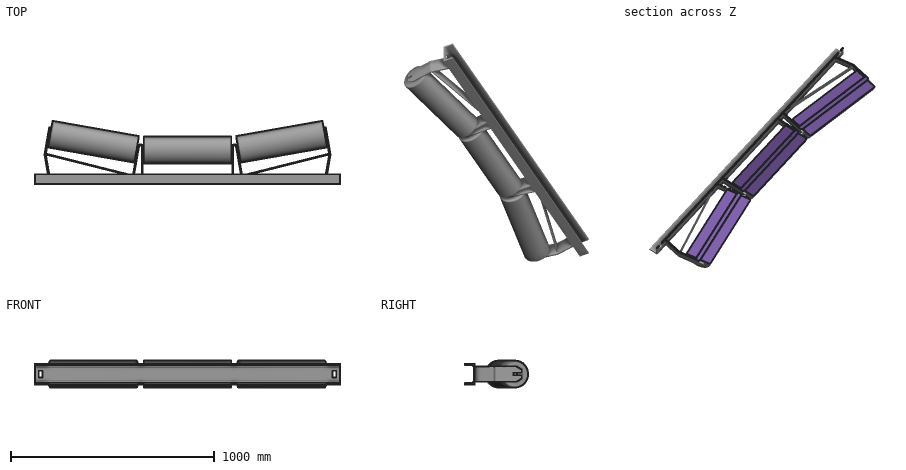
import cadquery as cq
import math


CHANNEL_LENGTH = 1500.0
CHANNEL_HEIGHT = 104.0
CHANNEL_DEPTH = 50.0
WEB_THICKNESS = 6.0
FLANGE_THICKNESS = 9.0
ROOT_RADIUS = 9.0
TIP_RADIUS = 5.0
SLOT_HOLE_WIDTH = 18.0
SLOT_HOLE_HEIGHT = 32.0
SLOT_HOLE_X = 722.0

ROLLER_DIAMETER = 134.0
ROLLER_LENGTH = 432.0
ROLLER_EDGE_RADIUS = 5.0
SHAFT_DIAMETER = 20.0
SHAFT_FLATS = 14.0
MIDDLE_AXIS_Y = 118.0
SIDE_TILT = 10.0
SIDE_CENTER_X = -462.0
SIDE_CENTER_Y = 159.0

BRACKET_WIDTH = 76.0
END_GAP = 3.0
INNER_THICKNESS = 6.0
INNER_TOP_Y = 145.0
INNER_BEND_RADIUS = 9.0
OUTER_THICKNESS = 8.0
SEAT_SLOT_LENGTH = 15.0
OUTER_BEND_Y = 96.0
OUTER_BEND_RADIUS = 15.0
OUTER_RISE = 33.0
OUTER_CORNER_LENGTH = 27.0
OUTER_CORNER_WIDTH = 16.0
BRACE_THICKNESS = 5.0
BRACE_HEAD_Y = 100.0
BRACE_WIDTH = 50.0
BRACE_FOOT_X = -294.0

SIN_TILT = math.sin(math.radians(SIDE_TILT))
COS_TILT = math.cos(math.radians(SIDE_TILT))
HALF_ROLLER = ROLLER_LENGTH / 2
SEAT_FACE = HALF_ROLLER + END_GAP
INNER_FACE = SEAT_FACE + INNER_THICKNESS
OUTER_FACE = SEAT_FACE + OUTER_THICKNESS


def tilt_to_left(body):
    """Move a body built along X about the origin onto the left roller axis."""
    tilted = body.rotate((0, 0, 0), (0, 0, 1), -SIDE_TILT)
    return tilted.translate((SIDE_CENTER_X, SIDE_CENTER_Y, 0))


def tilted_x(along, y):
    """X at height y on the plane square to the left axis, 'along' from its middle."""
    return SIDE_CENTER_X + (along + (y - SIDE_CENTER_Y) * SIN_TILT) / COS_TILT


def plate(points, width):
    """Upright plate with the given XY outline, centred on Z = 0."""
    return cq.Workplane("XY").polyline(points).close().extrude(width / 2, both=True)


def mirrored(body):
    return body.mirror("YZ")


def seat_slot(along):
    """Open slot that holds a flatted shaft end, 'along' the axis from the roller middle."""
    return (
        cq.Workplane("XY")
        .box(SEAT_SLOT_LENGTH, ROLLER_DIAMETER, SHAFT_FLATS)
        .translate((along, (ROLLER_DIAMETER - SHAFT_DIAMETER) / 2, 0))
    )


def make_channel():
    half_height = CHANNEL_HEIGHT / 2
    half_inside = half_height - FLANGE_THICKNESS
    web_front = -WEB_THICKNESS
    channel = (
        cq.Workplane("YZ")
        .polyline([
            (0, -half_height),
            (-CHANNEL_DEPTH, -half_height),
            (-CHANNEL_DEPTH, -half_inside),
            (web_front, -half_inside),
            (web_front, half_inside),
            (-CHANNEL_DEPTH, half_inside),
            (-CHANNEL_DEPTH, half_height),
            (0, half_height),
        ])
        .close()
        .extrude(CHANNEL_LENGTH / 2, both=True)
    )
    for z in (-half_inside, half_inside):
        root = cq.selectors.NearestToPointSelector((0, web_front, z))
        channel = channel.edges(root).fillet(ROOT_RADIUS)
        tip = cq.selectors.NearestToPointSelector((0, -CHANNEL_DEPTH, z))
        channel = channel.edges(tip).fillet(TIP_RADIUS)
    holes = (
        cq.Workplane("XZ")
        .pushPoints([(-SLOT_HOLE_X, 0), (SLOT_HOLE_X, 0)])
        .rect(SLOT_HOLE_WIDTH, SLOT_HOLE_HEIGHT)
        .extrude(CHANNEL_DEPTH, both=True)
    )
    return channel.cut(holes)


def make_inner_bracket():
    """Left inverted-U strip between the side roller and the middle roller."""
    bracket = plate(
        [
            (tilted_x(SEAT_FACE, 0), 0),
            (tilted_x(SEAT_FACE, INNER_TOP_Y), INNER_TOP_Y),
            (-SEAT_FACE, INNER_TOP_Y),
            (-SEAT_FACE, 0),
        ],
        BRACKET_WIDTH,
    )
    bracket = bracket.edges("|Z and >Y").fillet(INNER_BEND_RADIUS)
    inside_top = INNER_TOP_Y - INNER_THICKNESS
    inside = plate(
        [
            (tilted_x(INNER_FACE, 0), 0),
            (tilted_x(INNER_FACE, inside_top), inside_top),
            (-INNER_FACE, inside_top),
            (-INNER_FACE, 0),
        ],
        BRACKET_WIDTH,
    )
    inside = inside.edges("|Z and >Y").fillet(INNER_BEND_RADIUS - INNER_THICKNESS)
    seat_middle = SEAT_FACE + INNER_THICKNESS / 2
    middle_slot = seat_slot(-seat_middle).translate((0, MIDDLE_AXIS_Y, 0))
    return bracket.cut(inside).cut(tilt_to_left(seat_slot(seat_middle))).cut(middle_slot)


def make_outer_bracket():
    """Left end plate, bent so that its upper part is square to the side roller."""
    slant_thickness = OUTER_THICKNESS / COS_TILT
    bend_x = tilted_x(-OUTER_FACE, OUTER_BEND_Y)
    foot_x = bend_x + OUTER_BEND_Y * SIN_TILT / COS_TILT
    top_x = SIDE_CENTER_X - OUTER_FACE * COS_TILT + OUTER_RISE * SIN_TILT
    top_y = SIDE_CENTER_Y + OUTER_FACE * SIN_TILT + OUTER_RISE * COS_TILT
    bracket = plate(
        [
            (foot_x, 0),
            (bend_x, OUTER_BEND_Y),
            (top_x, top_y),
            (top_x + OUTER_THICKNESS * COS_TILT, top_y - OUTER_THICKNESS * SIN_TILT),
            (bend_x + slant_thickness, OUTER_BEND_Y),
            (foot_x + slant_thickness, 0),
        ],
        BRACKET_WIDTH,
    )
    bracket = bracket.edges("|Z and <X").fillet(OUTER_BEND_RADIUS)
    bracket = bracket.cut(tilt_to_left(seat_slot(-SEAT_FACE - OUTER_THICKNESS / 2)))
    half_width = BRACKET_WIDTH / 2
    for side in (-1, 1):
        corner = (
            cq.Workplane("YZ")
            .polyline([
                (OUTER_RISE, side * (half_width - OUTER_CORNER_WIDTH)),
                (OUTER_RISE, side * half_width),
                (OUTER_RISE - OUTER_CORNER_LENGTH, side * half_width),
            ])
            .close()
            .extrude(-ROLLER_LENGTH)
        )
        bracket = bracket.cut(tilt_to_left(corner))
    return bracket


def make_brace():
    """Left sloping strip from just above the bend of the end plate down to the channel."""
    head_x = tilted_x(-SEAT_FACE, BRACE_HEAD_Y)
    slope_length = math.hypot(BRACE_FOOT_X - head_x, BRACE_HEAD_Y)
    foot_length = BRACE_THICKNESS * slope_length / BRACE_HEAD_Y
    drop = BRACE_THICKNESS * slope_length / (BRACE_FOOT_X - head_x)
    return plate(
        [
            (head_x, BRACE_HEAD_Y),
            (BRACE_FOOT_X, 0),
            (BRACE_FOOT_X - foot_length, 0),
            (head_x, BRACE_HEAD_Y - drop),
        ],
        BRACE_WIDTH,
    )


def make_frame():
    frame = make_channel()
    for part in (make_inner_bracket(), make_outer_bracket(), make_brace()):
        frame = frame.union(part).union(mirrored(part))
    return frame


def make_roller():
    """Roller along X about the origin, bored through for its shaft."""
    return (
        cq.Workplane(cq.Plane((-HALF_ROLLER, 0, 0), (0, 0, 1), (1, 0, 0)))
        .circle(ROLLER_DIAMETER / 2)
        .extrude(ROLLER_LENGTH)
        .faces("|X")
        .edges()
        .fillet(ROLLER_EDGE_RADIUS)
        .faces(">X")
        .workplane()
        .hole(SHAFT_DIAMETER)
    )


def make_shaft(left_end, right_end):
    """Shaft along X, flatted on both sides where it leaves the roller."""
    shaft = cq.Workplane("YZ").circle(SHAFT_DIAMETER / 2).extrude(right_end + left_end)
    shaft = shaft.translate((-left_end, 0, 0))
    round_part = cq.Workplane("XY").box(ROLLER_LENGTH, SHAFT_DIAMETER, SHAFT_DIAMETER)
    flat_part = cq.Workplane("XY").box(2 * max(left_end, right_end), SHAFT_DIAMETER, SHAFT_FLATS)
    return shaft.intersect(round_part.union(flat_part))


frame = make_frame()

middle_roller = make_roller().translate((0, MIDDLE_AXIS_Y, 0))
middle_shaft = make_shaft(INNER_FACE, INNER_FACE).translate((0, MIDDLE_AXIS_Y, 0))

left_roller = tilt_to_left(make_roller())
left_shaft = tilt_to_left(make_shaft(OUTER_FACE, INNER_FACE))

rollers = [left_roller, middle_roller, mirrored(left_roller)]
shafts = [left_shaft, middle_shaft, mirrored(left_shaft)]

result = cq.Compound.makeCompound([body.val() for body in [frame, *rollers, *shafts]])